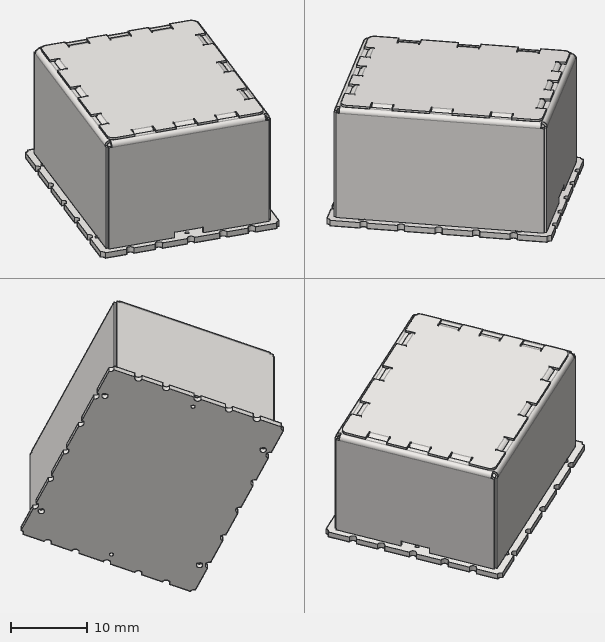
import cadquery as cq
import math

board_length = 30.0
board_width = 25.0
board_thickness = 0.8
edge_notch_diameter = 1.0
edge_notch_pitch_x = 5.0
edge_notch_inner_y = 4.5
edge_notch_outer_y = 8.5
leg_hole_diameter = 0.8
leg_hole_x = 10.5
leg_hole_y = 11.35
via_diameter = 0.5
via_x = 13.47

total_height = 16.92
case_length = 28.38
case_width = 22.98
sheet = 0.33
bend_radius = 0.65
corner_gap = 0.3
corner_relief = 0.72
slot_width = 4.02
slot_height = 0.8

plate_thickness = 0.3
plate_inset_x = 0.72
plate_inset_y = 0.6
plate_corner_radius = 0.9

tab_length = 3.0
tab_pitch_x = 7.98
tab_pitch_y = 5.82
tab_setback = 0.57
tab_curve = 0.7
tab_slit_width = 0.12
tab_slit_overrun = 0.12

case_height = total_height - plate_thickness - board_thickness
case_top = board_thickness + case_height
plate_length = case_length - 2 * plate_inset_x
plate_width = case_width - 2 * plate_inset_y


def box_on(length, width, height, bottom, x=0.0, y=0.0):
    """Box centred on (x, y) that rises from the given height."""
    return cq.Workplane("XY").box(length, width, height, (True, True, False)).translate((x, y, bottom))


def make_board():
    board = box_on(board_length, board_width, board_thickness, 0)
    half_length = board_length / 2
    half_width = board_width / 2
    side_ys = (-edge_notch_outer_y, -edge_notch_inner_y, 0, edge_notch_inner_y, edge_notch_outer_y)
    notches = [(i * edge_notch_pitch_x, s * half_width) for i in range(-2, 3) for s in (-1, 1)]
    notches += [(s * half_length, y) for y in side_ys for s in (-1, 1)]
    notches += [(sx * half_length, sy * half_width) for sx in (-1, 1) for sy in (-1, 1)]
    leg_holes = [(sx * leg_hole_x, sy * leg_hole_y) for sx in (-1, 1) for sy in (-1, 1)]
    vias = [(-via_x, 0), (via_x, 0)]
    for points, diameter in (
        (notches, edge_notch_diameter),
        (leg_holes, leg_hole_diameter),
        (vias, via_diameter),
    ):
        cutters = cq.Workplane("XY").pushPoints(points).circle(diameter / 2).extrude(board_thickness)
        board = board.cut(cutters)
    return board


def make_case():
    outside = box_on(case_length, case_width, case_height, board_thickness)
    outside = outside.faces(">Z").edges().fillet(bend_radius)
    inside = box_on(case_length - 2 * sheet, case_width - 2 * sheet, case_height - sheet, board_thickness)
    inside = inside.faces(">Z").edges().fillet(bend_radius - sheet)
    case = outside.cut(inside)

    relief_bottom = case_top - bend_radius
    for sx in (-1, 1):
        for sy in (-1, 1):
            x = sx * case_length / 2
            y = sy * case_width / 2
            gap = box_on(2 * corner_gap, 2 * corner_gap, case_height, board_thickness, x, y)
            relief = box_on(2 * corner_relief, 2 * corner_relief, bend_radius, relief_bottom, x, y)
            case = case.cut(gap).cut(relief)

    return case.cut(box_on(case_length, slot_width, slot_height, board_thickness))


def tab_cutter():
    """Cut for one tab at the origin: +X points in from the plate rim, Z = 0 is the plate underside."""
    curve_radius = (tab_curve**2 + plate_thickness**2) / (2 * plate_thickness)
    half_angle = math.asin(tab_curve / curve_radius) / 2
    tab_end = tab_setback + tab_curve
    middle = (
        tab_end - curve_radius * math.sin(half_angle),
        plate_thickness - curve_radius * (1 - math.cos(half_angle)),
    )
    cutter = (
        cq.Workplane("XZ")
        .lineTo(tab_setback, 0)
        .threePointArc(middle, (tab_end, plate_thickness))
        .lineTo(0, plate_thickness)
        .close()
        .extrude(tab_length / 2, both=True)
    )
    slit_length = tab_curve + tab_slit_overrun
    for side in (-1, 1):
        slit_y = side * (tab_length - tab_slit_width) / 2
        slit_x = tab_setback + slit_length / 2
        cutter = cutter.union(box_on(slit_length, tab_slit_width, plate_thickness, 0, slit_x, slit_y))
    return cutter


def make_plate():
    plate = box_on(plate_length, plate_width, plate_thickness, case_top)
    plate = plate.edges("|Z").fillet(plate_corner_radius)
    left_tab = tab_cutter().translate((-plate_length / 2, 0, case_top))
    front_tab = tab_cutter().rotate((0, 0, 0), (0, 0, 1), 90).translate((0, -plate_width / 2, case_top))
    for i in (-1, 0, 1):
        left = left_tab.translate((0, i * tab_pitch_y, 0))
        front = front_tab.translate((i * tab_pitch_x, 0, 0))
        for tab in (left, front):
            plate = plate.cut(tab)
            plate = plate.cut(tab.rotate((0, 0, 0), (0, 0, 1), 180))
    return plate


result = make_board().union(make_case()).union(make_plate())